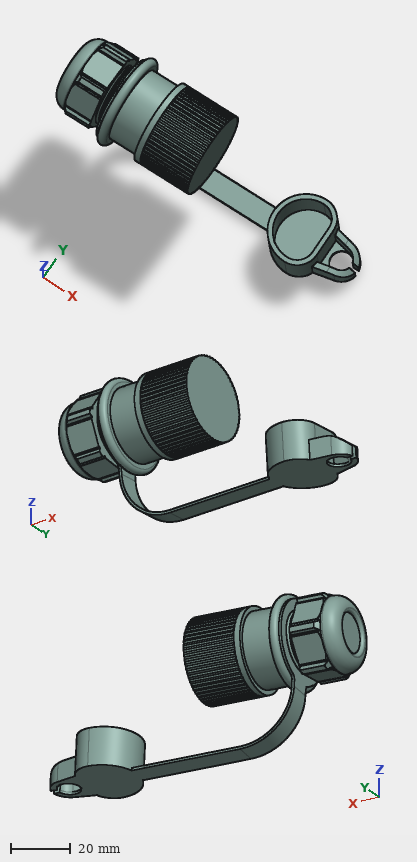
import cadquery as cq
import math


hood_end = 5.0
nut_chamfer_start = 5.5
nut_end = 16.5
disc_start = 19.5
disc_thickness = 1.0
flange_start = 20.4
flange_width = 3.4
collar_start = 35.0
knurl_start = 37.4
body_end = 56.6

hood_radius = 13.5
mouth_radius = 8.3
plug_radius = 7.1
thread_root_radius = 10.5
thread_crest_radius = 11.5
disc_radius = 15.1
flange_radius = 33.9 / 2
barrel_radius = 27.2 / 2
grip_radius = 15.3

nut_apothem = 13.3
nut_corner_radius = 15.1
nut_turn = -5.0
rib_top_width = 1.8
rib_foot_width = 3.2
rib_recess_width = 4.5
rib_recess_floor = 13.7

thread_pitch = 1.7
thread_ridge_width = 1.5
thread_overlap = 0.1
knurl_count = 60
knurl_depth = 0.2

hanging_turn = 5.0
hanging_bottom = 38.0
strap_width = 8.1
strap_bend_radius = 19.7
strap_fillet = 2.3

cap_x = 92.6
cap_radius = 12.8
cap_flat = 7.9
cap_height = 14.4
cap_wall = 1.8
cap_floor = 1.0

clip_x = 106.4
clip_hole_radius = 4.2
clip_tip_x = 112.7
clip_height = 7.4
clip_taper = 12.0
clip_web = 1.0
clip_slit = 2.0
clip_slope_start = 105.0
clip_tip_height = 3.8


def cylinder(start, end, radius):
    return cq.Workplane("YZ", origin=(start, 0, 0)).circle(radius).extrude(end - start)


def make_hood():
    """Domed front with a rounded lip running into the closed mouth."""
    dome_x = hood_end * (1 - math.sqrt(0.5))
    dome_r = mouth_radius + (hood_radius - mouth_radius) * math.sqrt(0.5)
    lip = mouth_radius - plug_radius
    lip_mid = lip * math.sqrt(0.5)
    return (
        cq.Workplane("XY")
        .moveTo(nut_end, 0)
        .lineTo(lip, 0)
        .lineTo(lip, plug_radius)
        .threePointArc((lip - lip_mid, mouth_radius - lip_mid), (0, mouth_radius))
        .threePointArc((dome_x, dome_r), (hood_end, hood_radius))
        .lineTo(nut_end, hood_radius)
        .close()
        .revolve(360, (0, 0, 0), (1, 0, 0))
        .intersect(cylinder(0, nut_chamfer_start, hood_radius))
    )


def make_nut():
    """Hexagon with a tapered rib in a shallow recess on each corner, chamfered in front."""
    length = nut_end - nut_chamfer_start
    plane = cq.Workplane("YZ", origin=(nut_chamfer_start, 0, 0))
    corner_distance = nut_apothem / math.cos(math.pi / 6)
    nut = plane.polygon(6, 2 * corner_distance).extrude(length)
    corner_depth = corner_distance - rib_recess_floor
    recess = (
        plane.center(rib_recess_floor + corner_depth / 2, 0)
        .rect(corner_depth, rib_recess_width)
        .extrude(length)
    )
    rib = (
        plane.polyline([
            (rib_recess_floor, -rib_foot_width / 2),
            (corner_distance, -rib_top_width / 2),
            (corner_distance, rib_top_width / 2),
            (rib_recess_floor, rib_foot_width / 2),
        ])
        .close()
        .extrude(length)
    )
    for corner in range(6):
        angle = 60 * corner
        nut = nut.cut(recess.rotate((0, 0, 0), (1, 0, 0), angle))
        nut = nut.union(rib.rotate((0, 0, 0), (1, 0, 0), angle))
    chamfer = nut_corner_radius - hood_radius
    blank = cylinder(nut_chamfer_start, nut_end, nut_corner_radius).faces("<X").chamfer(chamfer)
    return nut.intersect(blank).rotate((0, 0, 0), (1, 0, 0), nut_turn)


def make_thread():
    """Helical ridge on the neck; both ends are buried in the nut and the strap disc."""
    start = nut_end - thread_pitch / 2
    length = disc_start - start + disc_thickness / 2
    sunk_radius = thread_root_radius - thread_overlap
    half_ridge = thread_ridge_width / 2
    helix = cq.Wire.makeHelix(thread_pitch, length, thread_root_radius)
    ridge = (
        cq.Workplane("XZ")
        .polyline([
            (sunk_radius, -half_ridge),
            (thread_crest_radius, 0),
            (sunk_radius, half_ridge),
        ])
        .close()
        .sweep(cq.Workplane(helix), isFrenet=True)
        .rotate((0, 0, 0), (0, 1, 0), 90)
        .translate((start, 0, 0))
    )
    return cylinder(nut_end, disc_start, thread_root_radius).union(ridge)


def make_body():
    """Round-rimmed flange, barrel and collar."""
    rim = flange_width / 2
    flange_end = flange_start + flange_width
    return (
        cq.Workplane("XY")
        .moveTo(flange_start, 0)
        .lineTo(flange_start, flange_radius - rim)
        .threePointArc((flange_start + rim, flange_radius), (flange_end, flange_radius - rim))
        .lineTo(flange_end, barrel_radius)
        .lineTo(collar_start, barrel_radius)
        .lineTo(collar_start, grip_radius)
        .lineTo(knurl_start, grip_radius)
        .lineTo(knurl_start, 0)
        .close()
        .revolve(360, (0, 0, 0), (1, 0, 0))
    )


def make_knurl():
    """Grip section whose outline alternates between ridges and shallow V-shaped valleys."""
    half_pitch = math.pi / knurl_count
    outline = []
    for step in range(2 * knurl_count):
        radius = grip_radius - knurl_depth * (step % 2)
        angle = (step + 0.5) * half_pitch
        outline.append((radius * math.cos(angle), radius * math.sin(angle)))
    return (
        cq.Workplane("YZ", origin=(knurl_start, 0, 0))
        .polyline(outline)
        .close()
        .extrude(body_end - knurl_start)
    )


def make_strap():
    """Disc round the neck with a tongue that bends forward to the cap."""
    outer_x = disc_start + strap_bend_radius
    inner_radius = strap_bend_radius - disc_thickness
    bend_z = strap_bend_radius - hanging_bottom
    outer_mid = strap_bend_radius * math.sqrt(0.5)
    inner_mid = inner_radius * math.sqrt(0.5)
    disc_end = disc_start + disc_thickness
    strap_top = disc_thickness - hanging_bottom
    disc = cylinder(disc_start, disc_end, disc_radius)
    tab = (
        cq.Workplane("YZ", origin=(disc_start, 0, 0))
        .center(0, bend_z / 2)
        .rect(strap_width, -bend_z)
        .extrude(disc_thickness)
    )
    root_z = -math.sqrt(disc_radius**2 - (strap_width / 2) ** 2)
    plate = disc.union(tab)
    for side in (-1, 1):
        root_corner = cq.selectors.NearestToPointSelector(
            (disc_start + disc_thickness / 2, side * strap_width / 2, root_z)
        )
        plate = plate.edges("|X").edges(root_corner).fillet(strap_fillet)
    tongue = (
        cq.Workplane("XZ")
        .moveTo(disc_start, bend_z)
        .threePointArc((outer_x - outer_mid, bend_z - outer_mid), (outer_x, -hanging_bottom))
        .lineTo(cap_x - cap_flat, -hanging_bottom)
        .lineTo(cap_x - cap_flat, strap_top)
        .lineTo(outer_x, strap_top)
        .threePointArc((outer_x - inner_mid, bend_z - inner_mid), (disc_end, bend_z))
        .close()
        .extrude(strap_width / 2, both=True)
    )
    return plate.union(tongue)


def flattened_cylinder(bottom, height, radius, flat):
    """Upright prism about the cap axis: half round on -X, flat on +X with round corners."""
    corner_mid = flat * math.sqrt(0.5)
    corner_y = radius - flat
    return (
        cq.Workplane("XY", origin=(cap_x, 0, bottom))
        .moveTo(0, radius)
        .threePointArc((-radius, 0), (0, -radius))
        .threePointArc((corner_mid, -corner_y - corner_mid), (flat, -corner_y))
        .lineTo(flat, corner_y)
        .threePointArc((corner_mid, corner_y + corner_mid), (0, radius))
        .close()
        .extrude(height)
    )


def make_cap():
    return flattened_cylinder(-hanging_bottom, cap_height, cap_radius, cap_flat)


def make_cap_cavity():
    return flattened_cylinder(
        cap_floor - hanging_bottom,
        cap_height,
        cap_radius - cap_wall,
        cap_flat - cap_wall,
    )


def clip_outline(radius, height, bottom):
    """Round nose about the clip hole with straight sides widening toward the cap."""
    taper = math.radians(clip_taper)
    nose_x = clip_x + radius * math.sin(taper)
    nose_y = radius * math.cos(taper)
    root_x = cap_x + cap_flat - cap_wall / 2
    root_y = nose_y + (nose_x - root_x) * math.tan(taper)
    return (
        cq.Workplane("XY", origin=(0, 0, bottom))
        .moveTo(root_x, -root_y)
        .lineTo(nose_x, -nose_y)
        .threePointArc((clip_x + radius, 0), (nose_x, nose_y))
        .lineTo(root_x, root_y)
        .close()
        .extrude(height)
    )


def make_clip():
    """Open C-shaped clip: sloping side wall, thin web, hole and entry slit."""
    nose_radius = math.hypot(clip_tip_x - clip_x, clip_slit / 2)
    top = clip_height - hanging_bottom
    drop = clip_height - clip_tip_height
    run = clip_tip_x - clip_slope_start
    slope_radius = (run**2 + drop**2) / (2 * drop)
    half_angle = math.asin(run / slope_radius) / 2
    slope_mid = (
        clip_slope_start + slope_radius * math.sin(half_angle),
        top - slope_radius * (1 - math.cos(half_angle)),
    )
    above_slope = (
        cq.Workplane("XZ")
        .moveTo(clip_slope_start, top)
        .threePointArc(slope_mid, (clip_tip_x, top - drop))
        .lineTo(clip_x + nose_radius, top - drop)
        .lineTo(clip_x + nose_radius, top)
        .close()
        .extrude(cap_radius, both=True)
    )
    pocket = clip_outline(clip_hole_radius, clip_height, clip_web - hanging_bottom)
    base = cq.Workplane("XY", origin=(0, 0, -hanging_bottom))
    hole = base.center(clip_x, 0).circle(clip_hole_radius).extrude(clip_web)
    slit = base.center(clip_tip_x, 0).rect(2 * (clip_tip_x - clip_x), clip_slit).extrude(clip_height)
    clip = clip_outline(nose_radius, clip_height, -hanging_bottom)
    return clip.cut(above_slope).cut(slit).cut(pocket).cut(hole)


connector = make_hood().union(make_nut()).union(make_thread())
connector = connector.union(make_body()).union(make_knurl())
hanging = make_strap().union(make_clip()).union(make_cap()).cut(make_cap_cavity())
result = connector.union(hanging.rotate((0, 0, 0), (1, 0, 0), hanging_turn))